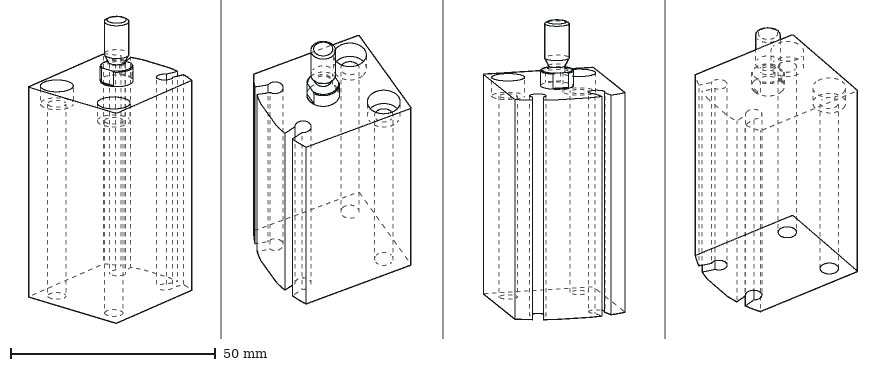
import cadquery as cq
import math

TOTAL_HEIGHT = 71.0
BODY_HEIGHT = 55.0
BODY_WIDTH = 28.0

FRONT_Y = -17.05
BACK_Y = 15.0
CROWN_RADIUS = 30.9
CROWN_CENTER_Y = -15.6
CORNER_RADIUS = 0.35

SLOT_X = 7.45
SLOT_Y = 9.4
SLOT_BORE_DIAMETER = 4.0
SLOT_MOUTH_WIDTH = 2.6
SLOT_MOUTH_LENGTH = 10.65
SLOT_TILT = 15.0

MOUNT_X = 9.0
MOUNT_Y = -12.0
MOUNT_DIAMETER = 4.5
COUNTERBORE_DIAMETER = 8.0
COUNTERBORE_DEPTH = 4.7

COLLAR_DIAMETER = 8.0
COLLAR_HEIGHT = 4.0
COLLAR_CHAMFER = 0.2
FLAT_SPACING = 7.0
FLAT_START = 0.2
NECK_DIAMETER = 4.1
NECK_FILLET = 0.7
NECK_HEIGHT = 1.0
THREAD_DIAMETER = 6.0
THREAD_START = 3.0
TIP_DIAMETER = 4.7
TIP_CHAMFER_HEIGHT = 0.4


def crown_y(x):
    """Height in Y of the large back arc at a given X."""
    return CROWN_CENTER_Y + math.sqrt(CROWN_RADIUS**2 - x**2)


def make_block():
    """Prism with a rounded back that is cut flat at its crest."""
    half_width = BODY_WIDTH / 2
    flat_half = math.sqrt(CROWN_RADIUS**2 - (BACK_Y - CROWN_CENTER_Y) ** 2)
    arc_middle = (half_width + flat_half) / 2
    return (
        cq.Workplane("XY")
        .moveTo(-half_width, FRONT_Y)
        .lineTo(half_width, FRONT_Y)
        .lineTo(half_width, crown_y(half_width))
        .threePointArc((arc_middle, crown_y(arc_middle)), (flat_half, BACK_Y))
        .lineTo(-flat_half, BACK_Y)
        .threePointArc((-arc_middle, crown_y(arc_middle)), (-half_width, crown_y(half_width)))
        .close()
        .extrude(BODY_HEIGHT)
        .edges("|Z and <Y")
        .fillet(CORNER_RADIUS)
    )


def make_slot_cutter(side):
    """Round channel with a narrower mouth leaning outward; side is -1 or 1."""
    bore = cq.Workplane("XY").circle(SLOT_BORE_DIAMETER / 2).extrude(BODY_HEIGHT)
    mouth = cq.Workplane("XY").box(
        SLOT_MOUTH_WIDTH, SLOT_MOUTH_LENGTH, BODY_HEIGHT, centered=(True, False, False)
    )
    mouth = mouth.rotate((0, 0, 0), (0, 0, 1), -side * SLOT_TILT)
    return bore.union(mouth).translate((side * SLOT_X, SLOT_Y, 0))


def make_housing():
    housing = make_block()
    for side in (-1, 1):
        housing = housing.cut(make_slot_cutter(side))
    return (
        housing.faces(">Z")
        .workplane(origin=(0, 0, BODY_HEIGHT))
        .pushPoints([(-MOUNT_X, MOUNT_Y), (MOUNT_X, MOUNT_Y)])
        .cboreHole(MOUNT_DIAMETER, COUNTERBORE_DIAMETER, COUNTERBORE_DEPTH)
    )


def make_rod_blank():
    """Turned rod standing on the housing: collar, filleted neck, cone and threaded end."""
    collar_radius = COLLAR_DIAMETER / 2
    neck_radius = NECK_DIAMETER / 2
    thread_radius = THREAD_DIAMETER / 2
    collar_top = BODY_HEIGHT + COLLAR_HEIGHT
    fillet_top = collar_top + NECK_FILLET
    fillet_reach = NECK_FILLET * (1 - math.sqrt(0.5))
    return (
        cq.Workplane("XZ")
        .moveTo(0, BODY_HEIGHT)
        .lineTo(collar_radius, BODY_HEIGHT)
        .lineTo(collar_radius, collar_top - COLLAR_CHAMFER)
        .lineTo(collar_radius - COLLAR_CHAMFER, collar_top)
        .lineTo(neck_radius + NECK_FILLET, collar_top)
        .threePointArc(
            (neck_radius + fillet_reach, collar_top + fillet_reach), (neck_radius, fillet_top)
        )
        .lineTo(neck_radius, collar_top + NECK_HEIGHT)
        .lineTo(thread_radius, collar_top + THREAD_START)
        .lineTo(thread_radius, TOTAL_HEIGHT - TIP_CHAMFER_HEIGHT)
        .lineTo(TIP_DIAMETER / 2, TOTAL_HEIGHT)
        .lineTo(0, TOTAL_HEIGHT)
        .close()
        .revolve(360, (0, 0), (0, 1))
    )


def make_rod():
    """Rod with two wrench flats that leave a thin round land at the foot of the collar."""
    rod = make_rod_blank()
    flat_height = COLLAR_HEIGHT - FLAT_START
    flat_cutter = cq.Workplane("XY").box(
        COLLAR_DIAMETER, COLLAR_DIAMETER, flat_height, centered=(True, False, False)
    )
    flat_cutter = flat_cutter.translate((0, FLAT_SPACING / 2, BODY_HEIGHT + FLAT_START))
    return rod.cut(flat_cutter).cut(flat_cutter.mirror("XZ"))


housing = make_housing()
rod = make_rod()

result = cq.Compound.makeCompound([housing.val(), rod.val()])